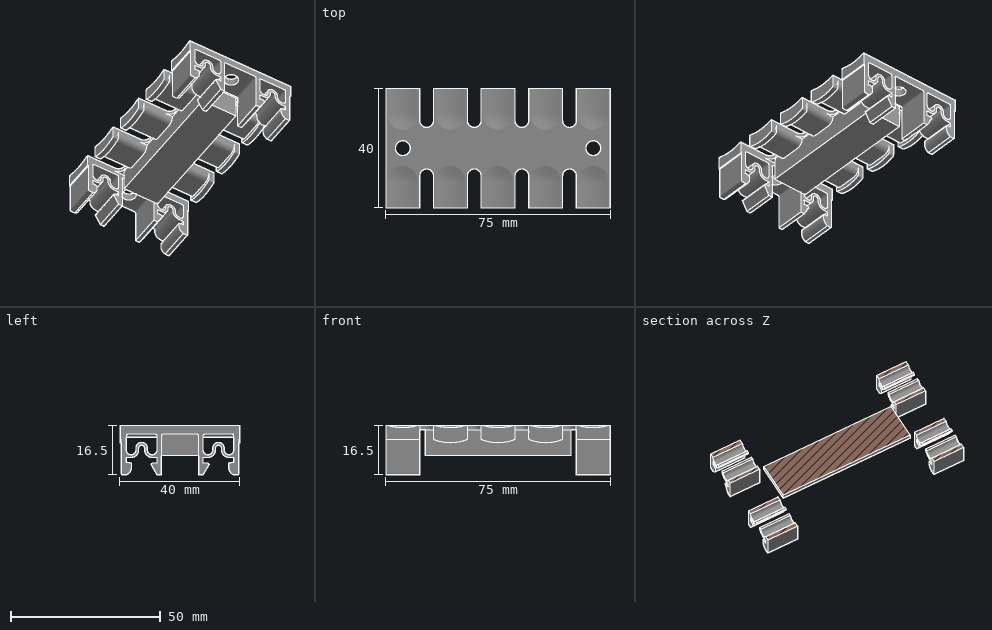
import cadquery as cq

length = 75.0
width = 40.0
height = 16.5
plate_thickness = 1.5

tabs_per_side = 5
tab_width = 11.4
tab_pitch = (length - tab_width) / (tabs_per_side - 1)
slot_width = tab_pitch - tab_width
slot_end_y = 7.0
tab_centers = [(i - (tabs_per_side - 1) / 2) * tab_pitch for i in range(tabs_per_side)]
end_tab_centers = [tab_centers[0], tab_centers[-1]]

tab_depth = 4.0
tab_edge_radius = 2.5
lip_edge_depth = 4.65
lip_bow = 1.1
lip_inner_y = 17.9
lip_corner_radius = 0.75

groove_width = 10.05
groove_depth = 0.75
groove_inner_y = 11.1
groove_radius = ((groove_width / 2) ** 2 + groove_depth ** 2) / (2 * groove_depth)

block_length = 48.75
block_width = 13.2
block_depth = 10.05
hole_diameter = 4.9

ceiling_depth = 2.9
outer_wall_y = 19.65
inner_wall_inside_y = 6.2
inner_wall_outside_y = 7.7
ceiling_corner_radius = 0.5
foot_edge_radius = 0.45

band_thickness = 1.0
band_center_y = (inner_wall_outside_y + lip_inner_y) / 2
hump_inner_radius = 1.0
hump_outer_radius = hump_inner_radius + band_thickness
hump_center_z = -7.6
lobe_inner_radius = (lip_inner_y - inner_wall_outside_y - 2 * hump_outer_radius) / 4
lobe_outer_radius = lobe_inner_radius + band_thickness
lobe_center_z = -8.2
lobe_offset = hump_outer_radius + lobe_inner_radius
band_bottom_z = lobe_center_z - lobe_outer_radius

outer_hook_root_z = -12.2
outer_hook_y = 16.2
outer_hook_top_z = -12.5
outer_hook_side_end_z = -13.8
outer_hook_bulge = (16.7, -15.6)
outer_hook_bottom_y = 17.85
inner_hook_top_z = -12.45
inner_hook_top_y = 9.15
inner_hook_tip = (9.75, -13.0)


def box(x_min, x_max, y_min, y_max, z_min, z_max):
    """Box between the given limits."""
    size = (x_max - x_min, y_max - y_min, z_max - z_min)
    return cq.Workplane("XY").box(*size, centered=False).translate((x_min, y_min, z_min))


def both_sides(solid):
    """The solid together with its mirror image across the plane Y = 0."""
    return solid.union(solid.mirror("XZ"))


def lip(center_x):
    """Lip of a middle tab, on the +Y side: bowed along the bottom, with rounded corners."""
    half = tab_width / 2
    bar = (
        cq.Workplane("XZ", origin=(center_x, width / 2, 0))
        .moveTo(-half, 0)
        .lineTo(-half, -lip_edge_depth)
        .threePointArc((0, -lip_edge_depth - lip_bow), (half, -lip_edge_depth))
        .lineTo(half, 0)
        .close()
        .extrude(width / 2 - lip_inner_y)
    )
    for corner_x in (center_x - half, center_x + half):
        corner = cq.selectors.NearestToPointSelector((corner_x, width / 2, -lip_edge_depth))
        bar = bar.edges("|Y").edges(corner).fillet(lip_corner_radius)
    return bar


def middle_tab(center_x):
    """Middle tab on the +Y side, rooted in the central block."""
    half = tab_width / 2
    bar = box(center_x - half, center_x + half, block_width / 2, width / 2, -tab_depth, 0)
    bar = bar.edges("|Y").edges("<Z").fillet(tab_edge_radius)
    return bar.union(lip(center_x))


def groove(center_x):
    """Cutter for one cable groove on the +Y side."""
    axis_z = groove_radius - groove_depth
    straight = (
        cq.Workplane("XZ", origin=(center_x, width / 2, axis_z))
        .circle(groove_radius)
        .extrude(width / 2 - groove_inner_y)
    )
    inner_end = cq.Workplane("XY").sphere(groove_radius).translate((center_x, groove_inner_y, axis_z))
    return straight.union(inner_end)


def end_section(center_x):
    """Sketch plane across an end tab, at its lower X side: local x is Y, local y is Z."""
    return cq.Workplane("YZ", origin=(center_x - tab_width / 2, 0, 0))


def foot_walls(center_x):
    """Ceiling, walls and hooks of one foot, on the +Y side."""
    walls = (
        end_section(center_x)
        .moveTo(0, 0)
        .lineTo(width / 2, 0)
        .lineTo(width / 2, -lip_edge_depth)
        .lineTo(outer_wall_y, -lip_edge_depth)
        .lineTo(outer_wall_y, -height)
        .lineTo(outer_hook_bottom_y, -height)
        .threePointArc(outer_hook_bulge, (outer_hook_y, outer_hook_side_end_z))
        .lineTo(outer_hook_y, outer_hook_top_z)
        .lineTo(lip_inner_y, outer_hook_root_z)
        .lineTo(lip_inner_y, -ceiling_depth)
        .lineTo(inner_wall_outside_y, -ceiling_depth)
        .lineTo(inner_wall_outside_y, inner_hook_top_z)
        .lineTo(inner_hook_top_y, inner_hook_top_z)
        .lineTo(*inner_hook_tip)
        .lineTo(inner_wall_outside_y, -height)
        .lineTo(inner_wall_inside_y, -height)
        .lineTo(inner_wall_inside_y, -ceiling_depth)
        .lineTo(0, -ceiling_depth)
        .close()
        .extrude(tab_width)
    )
    for y in (inner_wall_inside_y, inner_wall_outside_y, lip_inner_y):
        corner = cq.selectors.NearestToPointSelector((center_x, y, -ceiling_depth))
        walls = walls.edges("|X").edges(corner).fillet(ceiling_corner_radius)
    bottom_edge = cq.selectors.NearestToPointSelector((center_x, outer_wall_y, -height))
    return walls.edges("|X").edges(bottom_edge).fillet(foot_edge_radius)


def spring_band(center_x):
    """Wavy band between the walls of one foot, on the +Y side."""
    lobe_ys = (band_center_y - lobe_offset, band_center_y + lobe_offset)

    def slab(center_y, half_width, z_min, z_max):
        half = tab_width / 2
        return box(
            center_x - half, center_x + half, center_y - half_width, center_y + half_width, z_min, z_max
        )

    def rod(y, z, radius):
        return end_section(center_x).center(y, z).circle(radius).extrude(tab_width)

    def hump(radius):
        upright = slab(band_center_y, radius, lobe_center_z, hump_center_z)
        return upright.union(rod(band_center_y, hump_center_z, radius))

    opening = slab(band_center_y, lobe_offset, band_bottom_z, lobe_center_z)
    for y in lobe_ys:
        opening = opening.cut(rod(y, lobe_center_z, lobe_outer_radius))
    opening = opening.union(hump(hump_inner_radius))

    half_span = (lip_inner_y - inner_wall_outside_y) / 2
    band = slab(band_center_y, half_span, band_bottom_z, lobe_center_z)
    band = band.union(hump(hump_outer_radius)).cut(opening)
    for y in lobe_ys:
        band = band.cut(rod(y, lobe_center_z, lobe_inner_radius))
    return band


def slot(center_x):
    """Cutter for one slot on the +Y side, open at the edge and round at its inner end."""
    radius = slot_width / 2
    round_y = slot_end_y + radius
    straight = box(center_x - radius, center_x + radius, round_y, width / 2, -plate_thickness, 0)
    inner_end = cq.Workplane("XY").center(center_x, round_y).circle(radius).extrude(-plate_thickness)
    return straight.union(inner_end)


body = box(-length / 2, length / 2, -width / 2, width / 2, -plate_thickness, 0)
for left_tab in tab_centers[:-1]:
    body = body.cut(both_sides(slot(left_tab + tab_pitch / 2)))
body = body.union(
    box(-block_length / 2, block_length / 2, -block_width / 2, block_width / 2, -block_depth, 0)
)

for x in tab_centers[1:-1]:
    body = body.union(both_sides(middle_tab(x)))
for x in end_tab_centers:
    body = body.union(both_sides(foot_walls(x).union(spring_band(x))))

for x in tab_centers:
    body = body.cut(both_sides(groove(x)))
for x in end_tab_centers:
    hole = cq.Workplane("XY").center(x, 0).circle(hole_diameter / 2).extrude(-height)
    body = body.cut(hole)

result = body